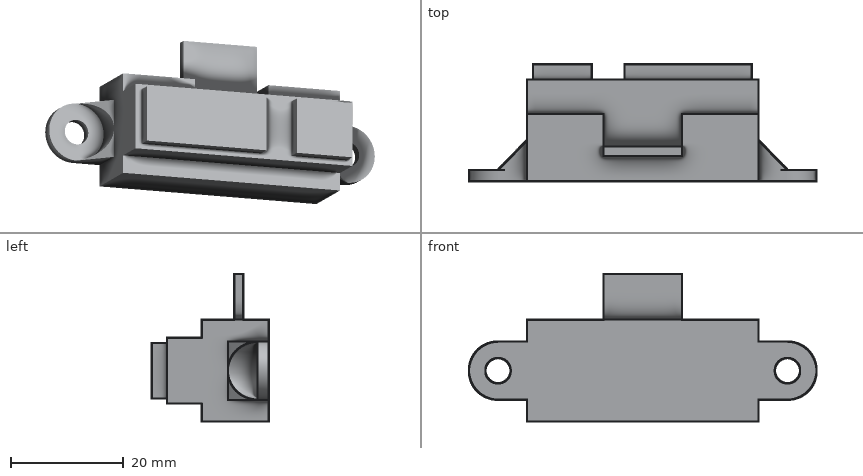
import cadquery as cq

overall_length = 61.8
overall_depth = 20.85
overall_height = 26.3

body_length = 41.2
body_depth = 11.95
body_height = 18.1
rear_block_height = 11.75
rear_block_end = 18.1

lens_height = 9.9
lens_ranges = [(-19.55, -9.0), (-3.3, 19.4)]

tab_width = 14.0
tab_front = 4.5
tab_thickness = 1.7

ear_radius = 5.2
ear_thickness = 2.05
hole_diameter = 4.45
ear_center = overall_length / 2 - ear_radius
gusset_rise = 5.25


def block(x_range, y_range, z_range):
    """Box spanning the given ranges."""
    (x0, x1), (y0, y1), (z0, z1) = x_range, y_range, z_range
    return cq.Workplane("XY").box(x1 - x0, y1 - y0, z1 - z0, centered=False).translate((x0, y0, z0))


def y_cylinder(x, radius, y_start, y_end):
    """Cylinder along Y, at mid-height."""
    profile = cq.Workplane("XZ", origin=(x, y_start, 0)).circle(radius)
    return profile.extrude(-(y_end - y_start))


def centered(size):
    """Range of the given size about zero."""
    return (-size / 2, size / 2)


def make_housing():
    body = block(centered(body_length), (0, body_depth), centered(body_height))
    notch = block(centered(tab_width), (tab_front, body_depth), (rear_block_height / 2, body_height / 2))
    rear_block = block(centered(body_length), (body_depth, rear_block_end), centered(rear_block_height))
    return body.cut(notch).union(rear_block)


def make_tab():
    tab_top = overall_height - body_height / 2
    return block(
        centered(tab_width), (tab_front, tab_front + tab_thickness), (rear_block_height / 2, tab_top)
    )


def make_ear():
    """Ear on the +X side, with a gusset cleared around the screw head."""
    body_side = body_length / 2
    plate = block((body_side, ear_center), (0, ear_thickness), centered(2 * ear_radius))
    plate = plate.union(y_cylinder(ear_center, ear_radius, 0, ear_thickness))

    gusset = (
        cq.Workplane("XY", origin=(0, 0, -ear_radius))
        .moveTo(body_side, ear_thickness)
        .lineTo(ear_center, ear_thickness)
        .lineTo(body_side, ear_thickness + gusset_rise)
        .close()
        .extrude(2 * ear_radius)
    )
    clearance_radius = ear_center - body_side
    gusset = gusset.cut(y_cylinder(ear_center, clearance_radius, ear_thickness, ear_thickness + gusset_rise))

    hole = y_cylinder(ear_center, hole_diameter / 2, 0, ear_thickness)
    return plate.union(gusset).cut(hole)


ear = make_ear()
result = make_housing().union(make_tab()).union(ear).union(ear.mirror("YZ"))
for lens_range in lens_ranges:
    result = result.union(block(lens_range, (rear_block_end, overall_depth), centered(lens_height)))